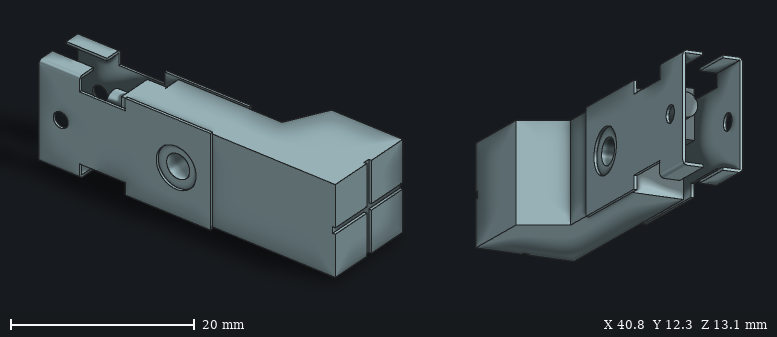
import cadquery as cq

length = 40.8

plate_gap = 6.6
plate_thickness = 0.35
plate_length = 23.77
plate_height = 12.4
tab_length = 5.65
tab_height = 13.1
neck_end = 12.0
neck_height = 9.2
flange_reach = 2.45
bend_radius = 0.57
tab_hole_x = 3.05
tab_hole_diameter = 2.05

housing_height = 11.9
housing_start = 13.9
head_width = 11.95
slope_start = 28.2
slope_end = 30.9
groove_width = 0.8
groove_depth = 0.35

boss_start = 11.2
boss_width = 5.1
boss_height = 5.9
boss_radius = 0.8
pin_start = 8.1
pin_diameter = 2.85

bore_x = 19.05
bore_diameter = 3.2
access_diameter = 5.5

inner_y = plate_gap / 2
outer_y = inner_y + plate_thickness
housing_top = housing_height / 2
head_y = head_width - inner_y
boss_y = boss_width - inner_y
boss_bottom = housing_top - boss_height


def box(x_range, y_range, z_range):
    """Box spanning the given (low, high) ranges."""
    size = [high - low for low, high in (x_range, y_range, z_range)]
    corner = (x_range[0], y_range[0], z_range[0])
    return cq.Workplane("XY").box(*size, centered=False).translate(corner)


def cross_cylinder(x, diameter, width):
    """Cylinder along Y, centred on Y = 0 and Z = 0."""
    return cq.Workplane("XZ").center(x, 0).circle(diameter / 2).extrude(width / 2, both=True)


def make_plate(side):
    """Side plate with a C-shaped flanged tab; side is -1 or +1 in Y."""
    half_tab = tab_height / 2
    tab = (
        box((0, tab_length), (outer_y - flange_reach, outer_y), (-half_tab, half_tab))
        .edges("|X and >Y")
        .fillet(bend_radius)
    )
    half_inside = half_tab - plate_thickness
    tab = tab.cut(box((0, tab_length), (outer_y - flange_reach, inner_y), (-half_inside, half_inside)))
    neck = box((tab_length, neck_end), (inner_y, outer_y), (-neck_height / 2, neck_height / 2))
    body = box((neck_end, plate_length), (inner_y, outer_y), (-plate_height / 2, plate_height / 2))
    plate = tab.union(neck).union(body)
    plate = plate.cut(cross_cylinder(tab_hole_x, tab_hole_diameter, 2 * outer_y))
    plate = plate.cut(cross_cylinder(bore_x, access_diameter, 2 * outer_y))
    return plate if side > 0 else plate.mirror("XZ")


def make_housing():
    """Housing with a wide rear head, a front boss, a cross bore, and a crossed groove."""
    outline = [
        (housing_start, -inner_y),
        (length, -inner_y),
        (length, head_y),
        (slope_end, head_y),
        (slope_start, inner_y),
        (housing_start, inner_y),
    ]
    housing = cq.Workplane("XY").polyline(outline).close().extrude(housing_top, both=True)

    boss = (
        box((boss_start, housing_start), (-inner_y, boss_y), (boss_bottom, housing_top))
        .edges("|X and >Y")
        .fillet(boss_radius)
    )
    housing = housing.union(boss)

    groove_x = (length - groove_depth, length)
    head_middle = (head_y - inner_y) / 2
    half_groove = groove_width / 2
    along_y = box(groove_x, (-inner_y, head_y), (-half_groove, half_groove))
    along_z = box(
        groove_x,
        (head_middle - half_groove, head_middle + half_groove),
        (-housing_top, housing_top),
    )
    housing = housing.cut(along_y).cut(along_z)

    return housing.cut(cross_cylinder(bore_x, bore_diameter, 2 * inner_y))


def make_pin():
    """Round pin along X, standing on the middle of the boss end face."""
    pin_centre = (pin_start, (boss_y - inner_y) / 2, (boss_bottom + housing_top) / 2)
    return cq.Workplane("YZ", origin=pin_centre).circle(pin_diameter / 2).extrude(boss_start - pin_start)


housing = make_housing()
pin = make_pin()
plates = [make_plate(side) for side in (-1, 1)]

result = cq.Compound.makeCompound(
    [housing.val(), pin.val(), *[plate.val() for plate in plates]]
)